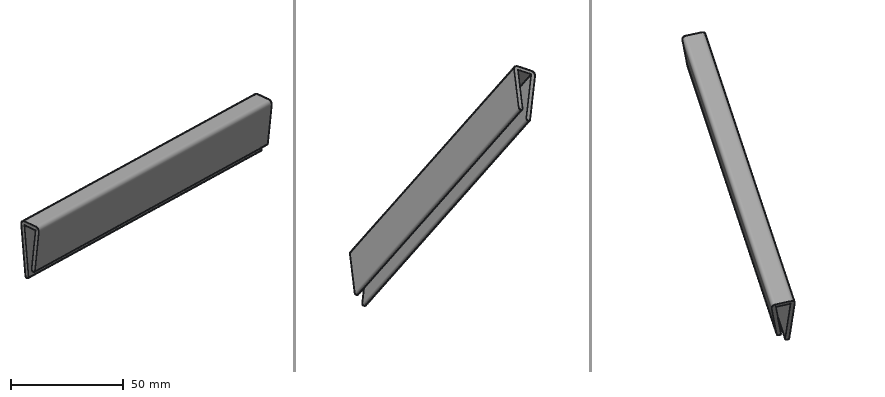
import cadquery as cq
import math

length = 152.4
width = 10.7
height = 28.5
short_leg_height = 23.8
wall = 2.0

long_leg_lean = 5.6
short_leg_lean = 6.5

corner_x = width / 2 - wall
corner_z = -wall
tip_radius = wall / 2


def leg_points(side, leg_height, lean_degrees):
    """Points of one leg, from the top of its bend to its inner corner; side is -1 or +1."""
    lean = math.radians(lean_degrees)
    run = (leg_height - wall - tip_radius - tip_radius * math.sin(lean)) / math.cos(lean)

    def place(outward, down):
        """Point at distances across and along the leg, measured from its inner corner."""
        x = corner_x + outward * math.cos(lean) - down * math.sin(lean)
        z = corner_z - outward * math.sin(lean) - down * math.cos(lean)
        return (side * x, z)

    mid_angle = (math.pi / 2 - lean) / 2
    bend_mid = (
        side * (corner_x + wall * math.cos(mid_angle)),
        corner_z + wall * math.sin(mid_angle),
    )
    return {
        "bend_top": (side * corner_x, 0),
        "bend_mid": bend_mid,
        "outer_top": place(wall, 0),
        "outer_tip": place(wall, run),
        "tip": place(tip_radius, run + tip_radius),
        "inner_tip": place(0, run),
        "inner_corner": place(0, 0),
    }


long_leg = leg_points(-1, height, long_leg_lean)
short_leg = leg_points(1, short_leg_height, short_leg_lean)

profile = (
    cq.Workplane("XZ")
    .moveTo(*long_leg["bend_top"])
    .lineTo(*short_leg["bend_top"])
    .threePointArc(short_leg["bend_mid"], short_leg["outer_top"])
    .lineTo(*short_leg["outer_tip"])
    .threePointArc(short_leg["tip"], short_leg["inner_tip"])
    .lineTo(*short_leg["inner_corner"])
    .lineTo(*long_leg["inner_corner"])
    .lineTo(*long_leg["inner_tip"])
    .threePointArc(long_leg["tip"], long_leg["outer_tip"])
    .lineTo(*long_leg["outer_top"])
    .threePointArc(long_leg["bend_mid"], long_leg["bend_top"])
    .close()
)

result = profile.extrude(length / 2, both=True)